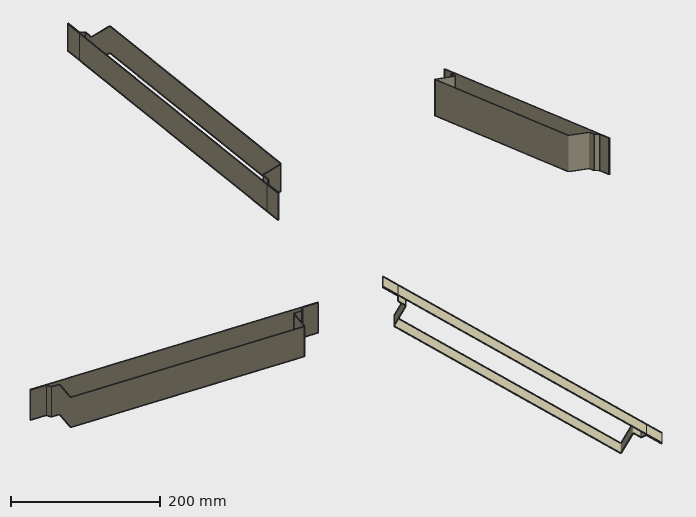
import cadquery as cq
import math

LENGTH = 432.0
DEPTH = 41.0
HEIGHT = 50.0

PLATE_THICKNESS = 1.0
SHEET_THICKNESS = 1.0
INNER_BEND_RADIUS = 1.0
OUTER_BEND_RADIUS = INNER_BEND_RADIUS + SHEET_THICKNESS

WALL_INSET = 39.7
FLANGE_LENGTH = 23.5
SLOPE_RUN = 4.5
SHELF_BACK = 33.5

HALF_LENGTH = LENGTH / 2
FLANGE_FRONT = PLATE_THICKNESS
FLANGE_REAR = FLANGE_FRONT + SHEET_THICKNESS
SHELF_FRONT = DEPTH - SHELF_BACK
SHELF_REAR = SHELF_FRONT + SHEET_THICKNESS
WALL_OUTER = HALF_LENGTH - WALL_INSET
WALL_INNER = WALL_OUTER - SHEET_THICKNESS
SLOPE_FOOT = HALF_LENGTH - FLANGE_LENGTH
SLOPE_TOP = SLOPE_FOOT - SLOPE_RUN

SLOPE_ANGLE = math.atan2(SHELF_REAR - FLANGE_REAR, SLOPE_RUN)
BEND_SHIFT = SHEET_THICKNESS * math.tan(SLOPE_ANGLE / 2)


def make_front_plate():
    """Flat plate covering the front of the bracket."""
    return cq.Workplane("XY").box(
        LENGTH, PLATE_THICKNESS, HEIGHT, centered=(True, False, False)
    )


def edges_at(body, corner):
    """Vertical edges through a profile corner and through its mirror image."""
    x, y = corner
    points = [(side * x, y, HEIGHT / 2) for side in (-1, 1)]
    left, right = [cq.selectors.NearestToPointSelector(point) for point in points]
    return body.edges("|Z").edges(left + right)


def round_right_angle_bends(sheet):
    """Concentric inner and outer radii where the side walls meet the back wall and shelves."""
    inner_corners = [
        (WALL_INNER, DEPTH - SHEET_THICKNESS),
        (WALL_OUTER, SHELF_REAR),
    ]
    outer_corners = [
        (WALL_OUTER, DEPTH),
        (WALL_INNER, SHELF_FRONT),
    ]
    for corner in inner_corners:
        sheet = edges_at(sheet, corner).fillet(INNER_BEND_RADIUS)
    for corner in outer_corners:
        sheet = edges_at(sheet, corner).fillet(OUTER_BEND_RADIUS)
    return sheet


def make_bracket():
    """Bent sheet: back wall, two side walls, and stepped flanges resting on the plate."""
    rear_side = [
        (HALF_LENGTH, FLANGE_REAR),
        (SLOPE_FOOT, FLANGE_REAR),
        (SLOPE_TOP, SHELF_REAR),
        (WALL_OUTER, SHELF_REAR),
        (WALL_OUTER, DEPTH),
    ]
    front_side = [
        (WALL_INNER, DEPTH - SHEET_THICKNESS),
        (WALL_INNER, SHELF_FRONT),
        (SLOPE_TOP - BEND_SHIFT, SHELF_FRONT),
        (SLOPE_FOOT - BEND_SHIFT, FLANGE_FRONT),
        (HALF_LENGTH, FLANGE_FRONT),
    ]
    mirrored_rear = [(-x, y) for x, y in reversed(rear_side)]
    mirrored_front = [(-x, y) for x, y in reversed(front_side)]
    outline = rear_side + mirrored_rear + mirrored_front + front_side
    sharp_sheet = cq.Workplane("XY").polyline(outline).close().extrude(HEIGHT)
    return round_right_angle_bends(sharp_sheet)


front_plate = make_front_plate()
bracket = make_bracket()

result = cq.Compound.makeCompound([front_plate.val(), bracket.val()])